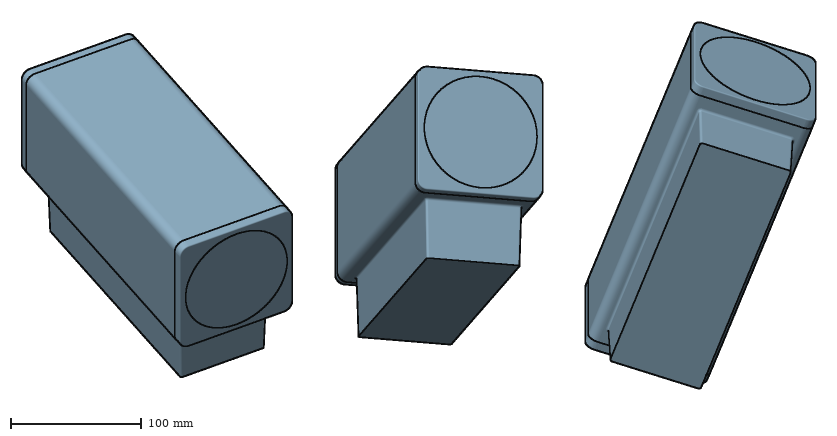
import cadquery as cq
import math

length = 248.0
overall_height = 148.0
housing_side = 100.0
corner_radius = 8.0
draft = 1.5

cap_thickness = 8.0
cap_edge_radius = 1.0

disc_diameter = 89.8

foot_length = 205.5
foot_width = 74.2
foot_corner_radius = 2.0
foot_blend_radius = 2.0

half_side = housing_side / 2
housing_length = length - 2 * cap_thickness
foot_height = overall_height - housing_side
foot_spread = 2 * foot_height * math.tan(math.radians(draft))


def make_housing():
    """Square bar with rounded long edges and a drafted foot blended into its underside."""
    bar = (
        cq.Workplane("YZ", origin=(-housing_length / 2, 0, 0))
        .rect(housing_side, housing_side)
        .extrude(housing_length)
        .edges("|X")
        .fillet(corner_radius)
    )
    foot = (
        cq.Workplane("XY", origin=(0, 0, -half_side))
        .rect(foot_length + foot_spread, foot_width + foot_spread)
        .extrude(-foot_height, taper=draft)
        .edges("not #Z")
        .fillet(foot_corner_radius)
    )
    body = bar.union(foot).val()
    underside = cq.Workplane(body).faces("<Z[1]").val()
    foot_root = underside.innerWires()[0]
    return cq.Workplane(body.fillet(foot_blend_radius, foot_root.Edges()))


def make_right_cap():
    """Drafted cap at the +X end with a rounded outer edge and a round opening for its disc."""
    cap_outline = cq.Sketch().rect(housing_side, housing_side).vertices().fillet(corner_radius)
    return (
        cq.Workplane("YZ", origin=(housing_length / 2, 0, 0))
        .placeSketch(cap_outline)
        .extrude(cap_thickness, taper=draft)
        .faces(">X")
        .edges()
        .fillet(cap_edge_radius)
        .cut(make_right_disc())
    )


def make_right_disc():
    """Round insert that fills the opening of the +X cap."""
    return (
        cq.Workplane("YZ", origin=(housing_length / 2, 0, 0))
        .circle(disc_diameter / 2)
        .extrude(cap_thickness)
    )


housing = make_housing()

caps = []
discs = []
for turn in (0, 180):
    caps.append(make_right_cap().rotate((0, 0, 0), (0, 0, 1), turn).val())
    discs.append(make_right_disc().rotate((0, 0, 0), (0, 0, 1), turn).val())

result = cq.Compound.makeCompound([housing.val(), *caps, *discs])